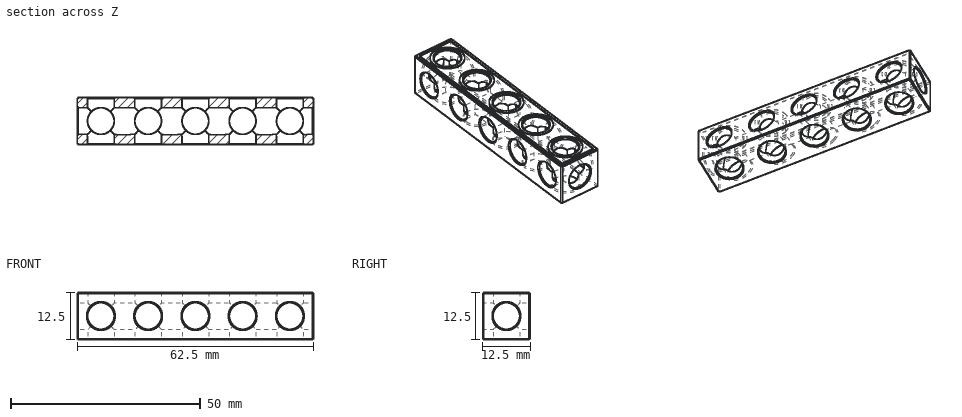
import cadquery as cq

pitch = 12.5
cell_count = 5
edge_chamfer = 0.3
hole_diameter = 7.0
hole_chamfer = 0.3
rim_width = 1.0
recess_depth = 0.2
collar_diameter = 9.2

length = cell_count * pitch
half_length = length / 2
half_pitch = pitch / 2
cell_centers = [(i - (cell_count - 1) / 2) * pitch for i in range(cell_count)]


def make_beam():
    """Square bar centred on the origin, bevelled on all twelve edges."""
    return cq.Workplane("XY").box(length, pitch, pitch).edges().chamfer(edge_chamfer)


def make_top_recess():
    """Shallow rectangular pocket in the top face, leaving a collar around each hole."""
    floor = cq.Workplane("XY").workplane(offset=half_pitch - recess_depth)
    pocket = floor.rect(length - 2 * rim_width, pitch - 2 * rim_width).extrude(recess_depth)
    collars = (
        floor.pushPoints([(x, 0) for x in cell_centers])
        .circle(collar_diameter / 2)
        .extrude(recess_depth)
    )
    return pocket.cut(collars)


def make_hole(half_span):
    """Cutter along Z from -half_span to +half_span, widened by a bevel at both ends."""
    bore_radius = hole_diameter / 2
    mouth_radius = bore_radius + hole_chamfer
    bevel_start = half_span - hole_chamfer
    return (
        cq.Workplane("XZ")
        .moveTo(0, -half_span)
        .lineTo(mouth_radius, -half_span)
        .lineTo(bore_radius, -bevel_start)
        .lineTo(bore_radius, bevel_start)
        .lineTo(mouth_radius, half_span)
        .lineTo(0, half_span)
        .close()
        .revolve(360, (0, 0), (0, 1))
    )


origin = (0, 0, 0)
vertical_hole = make_hole(half_pitch)
cross_hole = vertical_hole.rotate(origin, (1, 0, 0), 90)
lengthwise_hole = make_hole(half_length).rotate(origin, (0, 1, 0), 90)

result = make_beam().cut(make_top_recess()).cut(lengthwise_hole)
for x in cell_centers:
    result = result.cut(vertical_hole.translate((x, 0, 0)))
    result = result.cut(cross_hole.translate((x, 0, 0)))